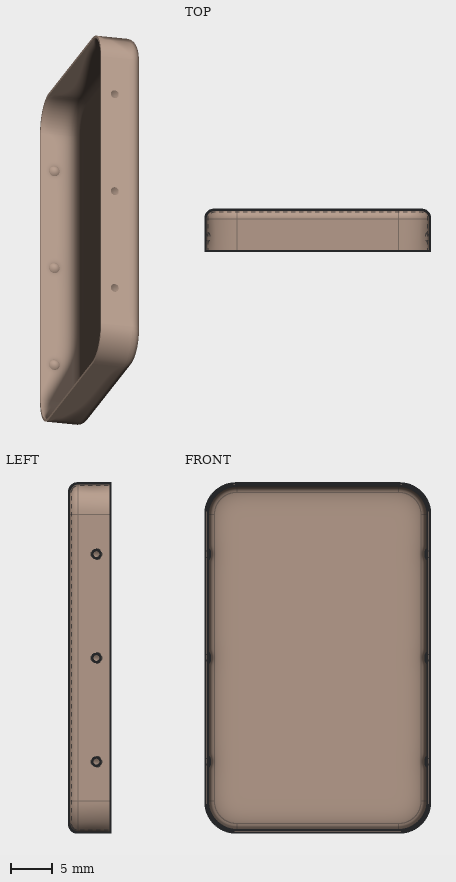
import cadquery as cq

WIDTH = 27.1
DEPTH = 5.0
HEIGHT = 42.1
WALL = 0.3
CORNER_RADIUS = 3.8
FLOOR_FILLET = 1.1

DIMPLE_DIAMETER = 1.0
DIMPLE_DEPTH = 0.3
DIMPLE_FROM_OPENING = 1.7
DIMPLE_PITCH = 12.5
DIMPLE_ROWS = (-1, 0, 1)

rim_radius = DIMPLE_DIAMETER / 2
dimple_radius = (rim_radius**2 + DIMPLE_DEPTH**2) / (2 * DIMPLE_DEPTH)
bump_radius = dimple_radius + WALL
sphere_x = WIDTH / 2 + dimple_radius - DIMPLE_DEPTH
floor_y = DEPTH / 2
dimple_y = floor_y - DEPTH + DIMPLE_FROM_OPENING


def rounded_block(inset):
    """Block with rounded corners and a filleted +Y edge, inset from the outer skin."""
    block = (
        cq.Workplane("XZ", origin=(0, floor_y - inset, 0))
        .rect(WIDTH - 2 * inset, HEIGHT - 2 * inset)
        .extrude(DEPTH - inset)
    )
    block = block.edges("|Y").fillet(CORNER_RADIUS - inset)
    return block.faces(">Y").edges().fillet(FLOOR_FILLET - inset)


def dimple_spheres(radius):
    """Spheres centred just outside both side walls, one for each dimple."""
    right_side = (
        cq.Workplane("XY")
        .pushPoints([(sphere_x, dimple_y, row * DIMPLE_PITCH) for row in DIMPLE_ROWS])
        .sphere(radius)
    )
    return right_side.union(right_side.mirror("YZ"))


outer_body = rounded_block(0).cut(dimple_spheres(dimple_radius))
cavity = rounded_block(WALL).cut(dimple_spheres(bump_radius))
result = outer_body.cut(cavity).solids()